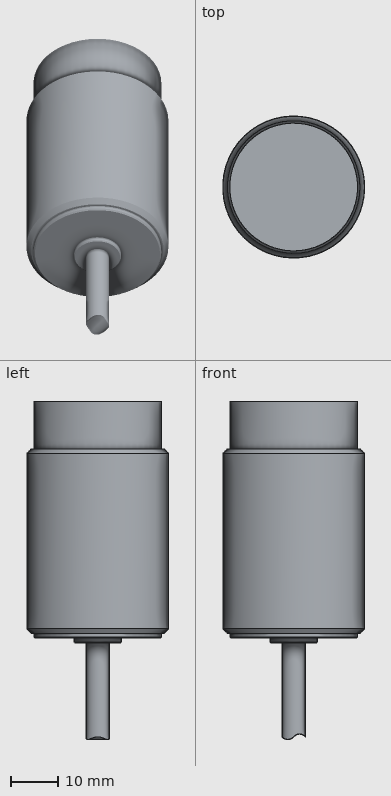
import cadquery as cq

barrel_diameter = 30.0
head_diameter = 27.0
head_height = 10.0
barrel_length = 39.0
barrel_chamfer = 1.0
cap_diameter = head_diameter
cap_height = 1.0
cap_chamfer = 0.3

gland_diameter = 10.0
gland_height = 1.0
gland_chamfer = 0.2

cable_diameter = 4.9
overall_height = 71.4
break_wave_height = 0.6

barrel_top = overall_height - head_height
barrel_bottom = barrel_top - barrel_length
cap_bottom = barrel_bottom - cap_height
gland_bottom = cap_bottom - gland_height


def cylinder(diameter, bottom, height):
    """Upright cylinder on the Z axis."""
    return cq.Workplane("XY", origin=(0, 0, bottom)).circle(diameter / 2).extrude(height)


def make_housing():
    """Head, chamfered barrel, end cap and gland as one solid."""
    head = cylinder(head_diameter, barrel_top, head_height)
    barrel = cylinder(barrel_diameter, barrel_bottom, barrel_length).edges().chamfer(barrel_chamfer)
    cap = cylinder(cap_diameter, cap_bottom, cap_height).faces("<Z").edges().chamfer(cap_chamfer)
    gland = cylinder(gland_diameter, gland_bottom, gland_height).faces("<Z").edges().chamfer(gland_chamfer)
    return barrel.union(head).union(cap).union(gland)


def make_cable():
    """Round cable whose lower end is cut along an S-shaped wave, constant in Y."""
    radius = cable_diameter / 2
    wave_middle = break_wave_height
    envelope = (
        cq.Workplane("XZ")
        .moveTo(-radius, wave_middle)
        .threePointArc((-radius / 2, wave_middle - break_wave_height), (0, wave_middle))
        .threePointArc((radius / 2, wave_middle + break_wave_height), (radius, wave_middle))
        .lineTo(radius, gland_bottom)
        .lineTo(-radius, gland_bottom)
        .close()
        .extrude(radius, both=True)
    )
    return cylinder(cable_diameter, 0, gland_bottom).intersect(envelope)


housing = make_housing()
cable = make_cable()

result = cq.Compound.makeCompound([housing.solids().val(), cable.solids().val()])